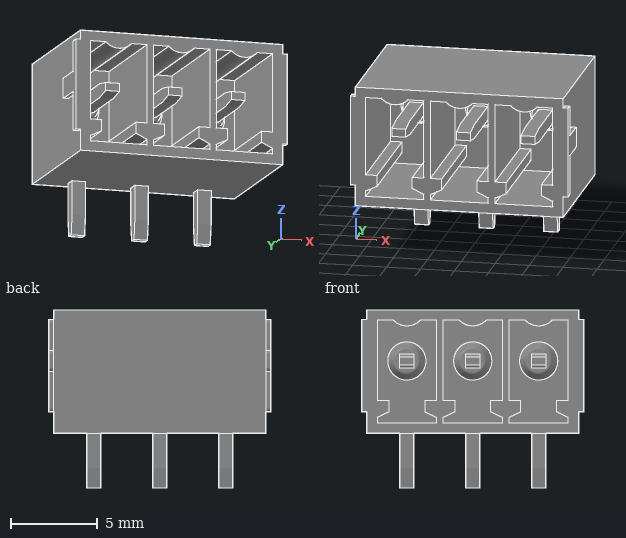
import cadquery as cq
import math


WAY_COUNT = 3
PITCH = 3.81
CONTACT_Z = 4.18

OVERALL_WIDTH = 12.82
OVERALL_HEIGHT = 10.3
FLANGE_THICKNESS = 0.28
BODY_WIDTH = OVERALL_WIDTH - 2 * FLANGE_THICKNESS
BODY_DEPTH = 9.2
BODY_HEIGHT = 7.13
FLANGE_DEPTH = 0.6
FLANGE_BOTTOM = 1.24
FLANGE_TOP = 6.58
FLANGE_RADIUS = 0.2
TAB_DEPTH = 2.5
TAB_HEIGHT = 1.2

POCKET_WIDTH = 3.41
POCKET_DEPTH = 7.2
POCKET_BOTTOM = 0.6
POCKET_TOP = 6.54
NECK_WIDTH = 2.08
RAIL_TOP = 1.9
RAIL_BOTTOM_INNER = 1.24
RAIL_BOTTOM_OUTER = 0.92
BUMP_WIDTH = 1.56
BUMP_DROP = 0.33

BOSS_BASE_RADIUS = 1.1
BOSS_TIP_RADIUS = 0.83
BOSS_FACE_RADIUS = 0.67
BOSS_HEIGHT = 0.94
BOSS_ROUND_HEIGHT = 0.17

PIN_SIZE = 0.82
PIN_TIP_SIZE = 0.47
PIN_FRONT = 1.2
PIN_TAPER_LENGTH = 1.14
LEG_BACK_GAP = 0.8
LEG_LENGTH = OVERALL_HEIGHT - BODY_HEIGHT

way_positions = [(way - (WAY_COUNT - 1) / 2) * PITCH for way in range(WAY_COUNT)]


def side_flange(start_x):
    """T-shaped plate on one side: a tall strip at the front with a tab running backwards."""
    plane = cq.Workplane("YZ", origin=(start_x, 0, 0))
    strip = (
        plane.moveTo(0, FLANGE_BOTTOM)
        .lineTo(FLANGE_DEPTH, FLANGE_BOTTOM)
        .lineTo(FLANGE_DEPTH, FLANGE_TOP)
        .lineTo(0, FLANGE_TOP)
        .close()
        .extrude(FLANGE_THICKNESS)
        .edges("|X and >Y")
        .fillet(FLANGE_RADIUS)
    )
    tab = (
        plane.center(TAB_DEPTH / 2, CONTACT_Z)
        .rect(TAB_DEPTH, TAB_HEIGHT)
        .extrude(FLANGE_THICKNESS)
        .edges("|X and >Y")
        .fillet(FLANGE_RADIUS)
    )
    return strip.union(tab)


def pocket(x):
    """Blind cavity with two dovetail rails at the bottom and a round bump in the roof."""
    half_width = POCKET_WIDTH / 2
    half_neck = NECK_WIDTH / 2
    half_bump = BUMP_WIDTH / 2
    return (
        cq.Workplane("XZ", origin=(x, 0, 0))
        .moveTo(-half_width, POCKET_BOTTOM)
        .lineTo(half_width, POCKET_BOTTOM)
        .lineTo(half_width, RAIL_BOTTOM_OUTER)
        .lineTo(half_neck, RAIL_BOTTOM_INNER)
        .lineTo(half_neck, RAIL_TOP)
        .lineTo(half_width, RAIL_TOP)
        .lineTo(half_width, POCKET_TOP)
        .lineTo(half_bump, POCKET_TOP)
        .threePointArc((0, POCKET_TOP - BUMP_DROP), (-half_bump, POCKET_TOP))
        .lineTo(-half_width, POCKET_TOP)
        .lineTo(-half_width, RAIL_TOP)
        .lineTo(-half_neck, RAIL_TOP)
        .lineTo(-half_neck, RAIL_BOTTOM_INNER)
        .lineTo(-half_width, RAIL_BOTTOM_OUTER)
        .close()
        .extrude(-POCKET_DEPTH)
    )


def boss(x):
    """Cone with a rounded rim, standing on the pocket floor around the contact."""
    rim_y = POCKET_DEPTH - BOSS_HEIGHT + BOSS_ROUND_HEIGHT
    face_y = POCKET_DEPTH - BOSS_HEIGHT
    rim_width = BOSS_TIP_RADIUS - BOSS_FACE_RADIUS
    diagonal = math.sqrt(0.5)
    return (
        cq.Workplane("XY", origin=(x, 0, CONTACT_Z))
        .moveTo(0, POCKET_DEPTH)
        .lineTo(BOSS_BASE_RADIUS, POCKET_DEPTH)
        .lineTo(BOSS_TIP_RADIUS, rim_y)
        .threePointArc(
            (BOSS_FACE_RADIUS + rim_width * diagonal, rim_y - BOSS_ROUND_HEIGHT * diagonal),
            (BOSS_FACE_RADIUS, face_y),
        )
        .lineTo(0, face_y)
        .close()
        .revolve(360, (0, 0, 0), (0, 1, 0))
    )


def pin(x):
    """L-shaped square contact: forward blade and downward solder leg, both with tapered ends."""
    half_size = PIN_SIZE / 2
    half_tip = PIN_TIP_SIZE / 2
    leg_back = BODY_DEPTH - LEG_BACK_GAP
    leg_front = leg_back - PIN_SIZE
    leg_center = leg_back - half_size
    taper_top = PIN_TAPER_LENGTH - LEG_LENGTH
    blade_shoulder = PIN_FRONT + PIN_TAPER_LENGTH
    blade_top = CONTACT_Z + half_size
    blade_bottom = CONTACT_Z - half_size
    return (
        cq.Workplane("YZ", origin=(x, 0, 0))
        .moveTo(PIN_FRONT, CONTACT_Z - half_tip)
        .lineTo(PIN_FRONT, CONTACT_Z + half_tip)
        .lineTo(blade_shoulder, blade_top)
        .lineTo(leg_back, blade_top)
        .lineTo(leg_back, taper_top)
        .lineTo(leg_center + half_tip, -LEG_LENGTH)
        .lineTo(leg_center - half_tip, -LEG_LENGTH)
        .lineTo(leg_front, taper_top)
        .lineTo(leg_front, blade_bottom)
        .lineTo(blade_shoulder, blade_bottom)
        .close()
        .extrude(half_size, both=True)
    )


pins = [pin(x) for x in way_positions]

housing = cq.Workplane("XY").box(BODY_WIDTH, BODY_DEPTH, BODY_HEIGHT, centered=(True, False, False))
for flange_x in (-OVERALL_WIDTH / 2, BODY_WIDTH / 2):
    housing = housing.union(side_flange(flange_x))
for way_x, way_pin in zip(way_positions, pins):
    housing = housing.cut(pocket(way_x)).union(boss(way_x)).cut(way_pin)

result = cq.Compound.makeCompound([housing.val(), *[way_pin.val() for way_pin in pins]])